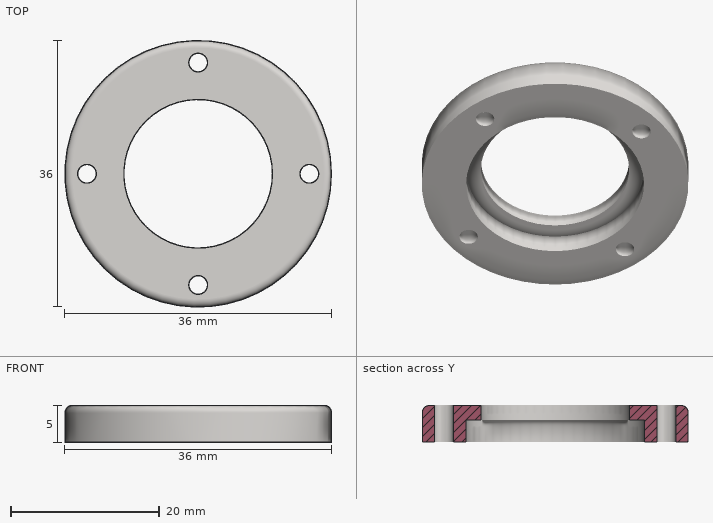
import cadquery as cq

outer_diameter = 36.0
height = 5.0
rim_radius = 1.0
bore_diameter = 20.0

recess_diameter = 24.0
recess_depth = 3.0

hole_diameter = 2.5
hole_circle_radius = 15.0
hole_count = 4

body = cq.Workplane("XY").circle(outer_diameter / 2).extrude(height)
body = body.faces(">Z").edges().fillet(rim_radius)

body = body.faces(">Z").workplane().circle(bore_diameter / 2).cutThruAll()

recess = cq.Workplane("XY").circle(recess_diameter / 2).extrude(recess_depth)
body = body.cut(recess)

result = (
    body.faces(">Z")
    .workplane()
    .polarArray(hole_circle_radius, 0, 360, hole_count)
    .circle(hole_diameter / 2)
    .cutThruAll()
)